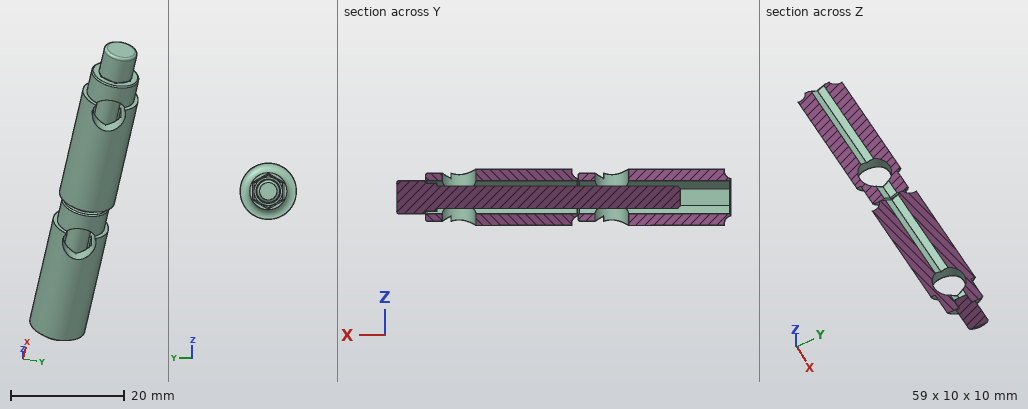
import cadquery as cq
import math


sleeve_count = 2
sleeve_length = 26.95
sleeve_diameter = 10.0
spigot_diameter = 8.5
spigot_length = 4.5
spigot_chamfer = 0.25

neck_face_diameter = 6.55
neck_length = 1.1
neck_arc_radius = 1.5

hex_across_flats = 5.0
hex_chamfer = 0.25

cross_hole_diameter = 5.9
cross_hole_to_spigot_end = 5.95

total_length = 59.0
shank_diameter = 4.0
shank_length = 45.0
shank_tip_chamfer = 0.5
shank_root_chamfer = 0.15
collar_diameter = hex_across_flats
collar_length = 2.0
head_diameter = 5.9
head_fillet = 0.5


def hex_section(across_flats):
    """Hexagon in the YZ plane at X = 0, with a corner on +Z."""
    corner_diameter = across_flats / math.cos(math.pi / 6)
    return (
        cq.Workplane("YZ")
        .transformed(rotate=(0, 0, 90))
        .polygon(6, corner_diameter)
    )


def sleeve_blank():
    """Turned outside of the sleeve: neck hollowed by an arc, main barrel and spigot."""
    outer_radius = sleeve_diameter / 2
    spigot_radius = spigot_diameter / 2
    barrel_end = sleeve_length - spigot_length

    profile = (
        cq.Workplane("XY")
        .lineTo(0, neck_face_diameter / 2)
        .radiusArc((neck_length, outer_radius), -neck_arc_radius)
        .lineTo(barrel_end, outer_radius)
        .lineTo(barrel_end, spigot_radius)
        .lineTo(sleeve_length, spigot_radius)
        .lineTo(sleeve_length, 0)
        .close()
    )
    blank = profile.revolve(360, (0, 0, 0), (1, 0, 0))
    return blank.faces(">X").edges().chamfer(spigot_chamfer)


def hex_bore():
    """Cutter for the hexagonal bore, flared by a chamfer at both ends."""
    bore = hex_section(hex_across_flats).extrude(sleeve_length)
    mouth_across_flats = hex_across_flats + 2 * hex_chamfer
    flare = hex_section(mouth_across_flats).extrude(hex_chamfer, taper=45)
    far_flare = flare.mirror("YZ").translate((sleeve_length, 0, 0))
    return bore.union(flare).union(far_flare)


def cross_hole():
    """Cutter for the hole that crosses the sleeve where the barrel meets the spigot."""
    return (
        cq.Workplane("XY")
        .center(sleeve_length - cross_hole_to_spigot_end, 0)
        .circle(cross_hole_diameter / 2)
        .extrude(sleeve_diameter / 2, both=True)
    )


def make_sleeve(index):
    sleeve = sleeve_blank().cut(hex_bore()).cut(cross_hole())
    return sleeve.translate((index * sleeve_length, 0, 0))


def make_bolt():
    """Stepped bolt: chamfered shank, collar with a small cone at its root, and rounded head."""
    head_start = sleeve_count * sleeve_length
    head = (
        cq.Workplane("YZ", origin=(head_start, 0, 0))
        .circle(head_diameter / 2)
        .extrude(total_length - head_start)
        .faces(">X")
        .edges()
        .fillet(head_fillet)
    )
    collar_start = head_start - collar_length
    collar = (
        cq.Workplane("YZ", origin=(collar_start, 0, 0))
        .circle(collar_diameter / 2)
        .extrude(collar_length)
    )
    shank_start = head_start - shank_length
    shank = (
        cq.Workplane("YZ", origin=(shank_start, 0, 0))
        .circle(shank_diameter / 2)
        .extrude(collar_start - shank_start)
        .faces("<X")
        .edges()
        .chamfer(shank_tip_chamfer)
    )
    root = (
        cq.Workplane("YZ", origin=(collar_start, 0, 0))
        .circle(shank_diameter / 2 + shank_root_chamfer)
        .extrude(-shank_root_chamfer, taper=45)
    )
    return head.union(collar).union(root).union(shank)


sleeves = [make_sleeve(index) for index in range(sleeve_count)]
bolt = make_bolt()

result = cq.Compound.makeCompound([*(sleeve.val() for sleeve in sleeves), bolt.val()])